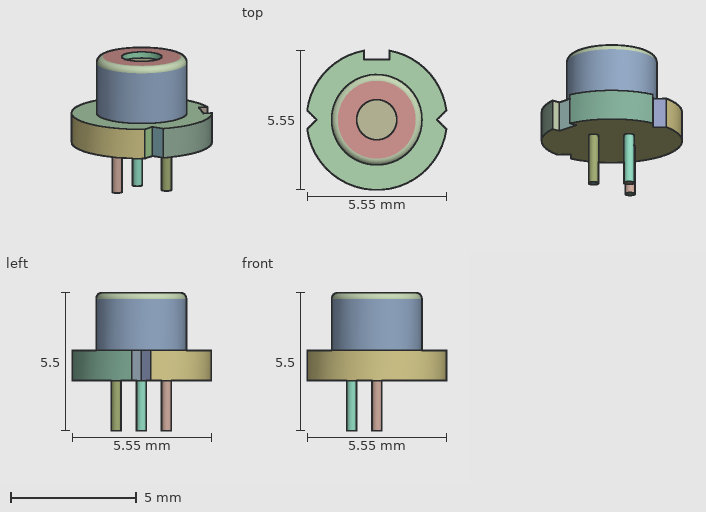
import cadquery as cq

flange_diameter = 5.6
flange_radius = flange_diameter / 2
flange_thickness = 1.2

notch_depth = 0.4
notch_floor = flange_radius - notch_depth
slot_width = 1.0

cap_diameter = 3.6
cap_height = 2.305
cap_edge_radius = 0.25
cap_top = flange_thickness + cap_height

window_diameter = 1.6
window_depth = 0.25

pin_diameter = 0.4
pin_length = 2.0
pin_circle_radius = 1.0


def make_flange():
    disc = cq.Workplane("XY").circle(flange_radius).extrude(flange_thickness)
    slot = (
        cq.Workplane("XY")
        .center(0, notch_floor + notch_depth)
        .rect(slot_width, 2 * notch_depth)
        .extrude(flange_thickness)
    )
    disc = disc.cut(slot)
    for side in (-1, 1):
        disc = disc.cut(make_vee_notch(side))
    return disc


def make_vee_notch(side):
    """Right-angled vee opening outward along X, with its tip at the notch floor."""
    mouth_x = side * (notch_floor + 2 * notch_depth)
    mouth_half_width = 2 * notch_depth
    return (
        cq.Workplane("XY")
        .moveTo(side * notch_floor, 0)
        .lineTo(mouth_x, mouth_half_width)
        .lineTo(mouth_x, -mouth_half_width)
        .close()
        .extrude(flange_thickness)
    )


def make_cap():
    cap = (
        cq.Workplane("XY", origin=(0, 0, flange_thickness))
        .circle(cap_diameter / 2)
        .extrude(cap_height)
        .faces(">Z")
        .edges()
        .fillet(cap_edge_radius)
    )
    window = (
        cq.Workplane("XY", origin=(0, 0, cap_top))
        .circle(window_diameter / 2)
        .extrude(-window_depth)
    )
    return cap.cut(window)


def make_pins():
    pin_centers = [
        (-pin_circle_radius, 0),
        (0, pin_circle_radius),
        (0, -pin_circle_radius),
    ]
    return (
        cq.Workplane("XY")
        .pushPoints(pin_centers)
        .circle(pin_diameter / 2)
        .extrude(-pin_length)
    )


result = make_flange().union(make_cap()).union(make_pins())